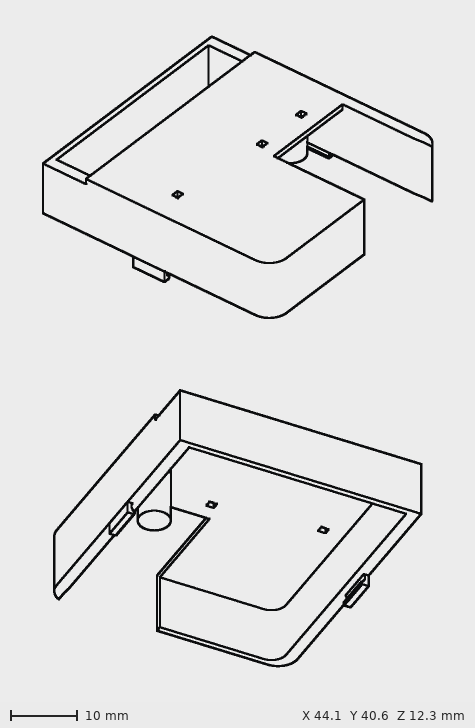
import cadquery as cq

LENGTH = 44.1
WIDTH = 40.65
TOTAL_HEIGHT = 12.3
CLIP_HEIGHT = 2.0
HOUSING_HEIGHT = TOTAL_HEIGHT - CLIP_HEIGHT
END_WALL = 1.0
SIDE_WALL = 2.05
PLATE_THICKNESS = 0.95
INNER_RADIUS = 5.0 / 2
OUTER_RADIUS = 3.3

PLATE_START = 8.25

CUTOUT_START = 26.75
CUTOUT_FLOOR_Y = 22.05
ARM_TAPER_START = 40.72
ARM_TAPER_END = 42.15
ARM_RELIEF = 0.15

HOLE_LENGTH = 1.05
HOLE_WIDTH = 1.25
HOLE_CENTERS = [(23.43, 32.83), (23.43, 23.4), (21.45, 5.55)]

BOSS_RADIUS = 5.0 / 2
BOSS_CENTER = (19.7, 34.95)

CLIP_START = 17.35
CLIP_LENGTH = 6.0
CLIP_ROOT = 0.85
CLIP_WAIST = 0.65
CLIP_LIP = 1.25
LIP_SIDE_HEIGHT = 0.35
LIP_TIP_HEIGHT = 0.45
LIP_BEVEL = 0.15
WAIST_HEIGHT = 1.2


def block(x, y, z, length, width, height):
    """Box with its lowest corner at (x, y, z)."""
    return cq.Workplane("XY").box(length, width, height, centered=False).translate((x, y, z))


def make_cavity():
    """Space under the plate, open at the bottom and rounded at its +X corners."""
    cavity = block(
        END_WALL, SIDE_WALL, 0,
        LENGTH - 2 * END_WALL, WIDTH - 2 * SIDE_WALL, HOUSING_HEIGHT - PLATE_THICKNESS,
    )
    return cavity.edges("|Z and >X").fillet(INNER_RADIUS)


def make_cutout():
    """Through cutout that leaves an arm thinning slightly towards its tip."""
    arm_inner_y = WIDTH - SIDE_WALL
    return (
        cq.Workplane("XY")
        .moveTo(CUTOUT_START, CUTOUT_FLOOR_Y)
        .lineTo(LENGTH, CUTOUT_FLOOR_Y)
        .lineTo(LENGTH, arm_inner_y + ARM_RELIEF)
        .lineTo(ARM_TAPER_END, arm_inner_y + ARM_RELIEF)
        .lineTo(ARM_TAPER_START, arm_inner_y)
        .lineTo(CUTOUT_START, arm_inner_y)
        .close()
        .extrude(HOUSING_HEIGHT)
    )


def make_housing():
    """Open-bottomed frame with a top plate, a corner cutout, holes and a boss."""
    housing = block(0, 0, 0, LENGTH, WIDTH, HOUSING_HEIGHT)
    housing = housing.edges("|Z and >X").fillet(OUTER_RADIUS)
    housing = housing.cut(make_cavity())
    step_z = HOUSING_HEIGHT - PLATE_THICKNESS
    housing = housing.cut(block(0, 0, step_z, PLATE_START, WIDTH, PLATE_THICKNESS))
    housing = housing.cut(make_cutout())
    holes = (
        cq.Workplane("XY")
        .pushPoints(HOLE_CENTERS)
        .rect(HOLE_LENGTH, HOLE_WIDTH)
        .extrude(HOUSING_HEIGHT)
    )
    boss = cq.Workplane("XY").center(*BOSS_CENTER).circle(BOSS_RADIUS).extrude(step_z)
    return housing.cut(holes).union(boss)


def make_clip():
    """Hooked clip below the -Y wall, its lip pointing inwards."""
    return (
        cq.Workplane("YZ", origin=(CLIP_START, 0, 0))
        .moveTo(0, 0)
        .lineTo(0, -CLIP_HEIGHT)
        .lineTo(CLIP_LIP - LIP_BEVEL, -CLIP_HEIGHT)
        .lineTo(CLIP_LIP, LIP_SIDE_HEIGHT - CLIP_HEIGHT)
        .lineTo(CLIP_LIP, LIP_TIP_HEIGHT - CLIP_HEIGHT)
        .threePointArc((CLIP_WAIST, WAIST_HEIGHT - CLIP_HEIGHT), (CLIP_ROOT, 0))
        .close()
        .extrude(CLIP_LENGTH)
    )


def make_clips():
    """One clip below each side wall, mirrored about the middle of the width."""
    clips = []
    for on_far_side in (False, True):
        clip = make_clip()
        if on_far_side:
            clip = clip.mirror("XZ", (0, WIDTH / 2, 0))
        clips.append(clip.val())
    return clips


housing = make_housing()
clips = make_clips()
result = cq.Compound.makeCompound([housing.val(), *clips])